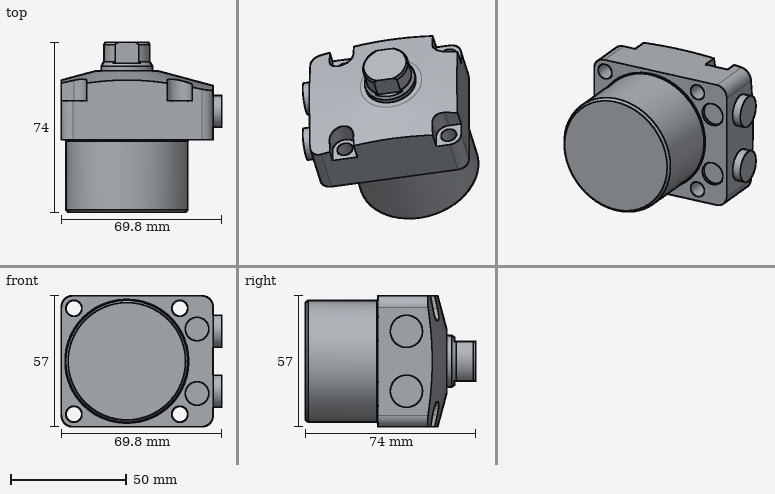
import cadquery as cq
import math


flange_width = 57.0
half_width = flange_width / 2
port_side_x = 37.5
corner_radius = 5.0

crown_height = 30.0
shoulder_height = 26.0
crown_slope = math.tan(math.radians(15))
crown_flat_radius = half_width - (crown_height - shoulder_height) / crown_slope
crown_base_radius = crown_flat_radius + crown_height / crown_slope

barrel_radius = 26.5
barrel_length = 31.5
barrel_end_radius = 25.5
barrel_chamfer_length = 1.2
barrel_flare = 0.4
barrel_flare_length = 0.5

bolt_offset = 23.0
bolt_hole_diameter = 6.8
bolt_seat_radius = 5.5
bolt_seat_height = 17.0

seal_x = 30.5
seal_z = 14.0
seal_diameter = 10.2
seal_depth = 1.5

collar_radius = 11.2
collar_top = 32.0
plunger_radius = 10.0
plunger_root = 34.0
plunger_top = 42.5
plunger_chamfer_length = 1.1
plunger_chamfer_radial = 0.6
wrench_width = 17.2
wrench_flat_start = 33.3

plug_diameter = 14.0
plug_length = 3.8
plug_y = 12.4
plug_z = 13.0


def revolve_about_y(profile):
    """Revolve a closed outline of (radius, y) points about the Y axis."""
    return cq.Workplane("XY").polyline(profile).close().revolve(360, (0, 0, 0), (0, 1, 0))


def facing_rear(y, x=0, z=0):
    """Workplane at height y whose normal is +Y, with local axes along +Z and +X."""
    plane = cq.Plane(origin=(x, y, z), xDir=(0, 0, 1), normal=(0, 1, 0))
    return cq.Workplane(plane)


def box_between(x0, x1, y0, y1, z0, z1):
    """Box spanning the given limits."""
    size = (x1 - x0, y1 - y0, z1 - z0)
    return cq.Workplane("XY").box(*size, centered=False).translate((x0, y0, z0))


def make_crowned_flange():
    block = box_between(-half_width, port_side_x, 0, crown_height, -half_width, half_width)
    block = block.edges("|Y").fillet(corner_radius)
    crown = revolve_about_y([
        (0, 0),
        (crown_base_radius, 0),
        (crown_flat_radius, crown_height),
        (0, crown_height),
    ])
    return block.intersect(crown)


def make_barrel():
    return revolve_about_y([
        (0, 0),
        (barrel_radius + barrel_flare, 0),
        (barrel_radius, -barrel_flare_length),
        (barrel_radius, barrel_chamfer_length - barrel_length),
        (barrel_end_radius, -barrel_length),
        (0, -barrel_length),
    ])


def make_bolt_seat(x_side, z_side):
    """Clearance for a bolt head, open to the Z side, and at -X also to the flange side."""
    bolt_x = x_side * bolt_offset
    bolt_z = z_side * bolt_offset
    seat_depth = crown_height - bolt_seat_height
    z_limits = sorted([bolt_z, z_side * half_width])
    seat = facing_rear(bolt_seat_height, bolt_x, bolt_z).circle(bolt_seat_radius).extrude(seat_depth)
    seat = seat.union(box_between(
        bolt_x - bolt_seat_radius, bolt_x + bolt_seat_radius,
        bolt_seat_height, crown_height, *z_limits,
    ))
    if x_side < 0:
        inner_z = bolt_z - z_side * bolt_seat_radius
        side_limits = sorted([inner_z, z_side * half_width])
        seat = seat.union(box_between(
            -half_width, bolt_x, bolt_seat_height, crown_height, *side_limits,
        ))
    return seat


def make_housing():
    housing = make_crowned_flange().union(make_barrel())
    for z_side in (-1, 1):
        for x_side in (-1, 1):
            housing = housing.cut(make_bolt_seat(x_side, z_side))
            bolt_hole = facing_rear(0, x_side * bolt_offset, z_side * bolt_offset)
            housing = housing.cut(bolt_hole.circle(bolt_hole_diameter / 2).extrude(crown_height))
        seal_recess = facing_rear(0, seal_x, z_side * seal_z)
        housing = housing.cut(seal_recess.circle(seal_diameter / 2).extrude(seal_depth))
    return housing


def make_plunger():
    """Plunger with a tapered collar and two wrench flats, standing on the crown."""
    plunger = revolve_about_y([
        (0, crown_height),
        (collar_radius, crown_height),
        (collar_radius, collar_top),
        (plunger_radius, plunger_root),
        (plunger_radius, plunger_top - plunger_chamfer_length),
        (plunger_radius - plunger_chamfer_radial, plunger_top),
        (0, plunger_top),
    ])
    for z_side in (-1, 1):
        z_limits = sorted([z_side * wrench_width / 2, z_side * collar_radius])
        plunger = plunger.cut(box_between(
            -collar_radius, collar_radius, wrench_flat_start, plunger_top, *z_limits,
        ))
    return plunger


def make_port_plug(z_side):
    """Round plug seated on the port side of the flange."""
    seat = cq.Workplane("YZ", origin=(port_side_x, plug_y, z_side * plug_z))
    return seat.circle(plug_diameter / 2).extrude(plug_length)


housing = make_housing()
plunger = make_plunger()
port_plugs = [make_port_plug(z_side) for z_side in (-1, 1)]

result = cq.Compound.makeCompound([
    housing.val(),
    plunger.val(),
    *[plug.val() for plug in port_plugs],
])